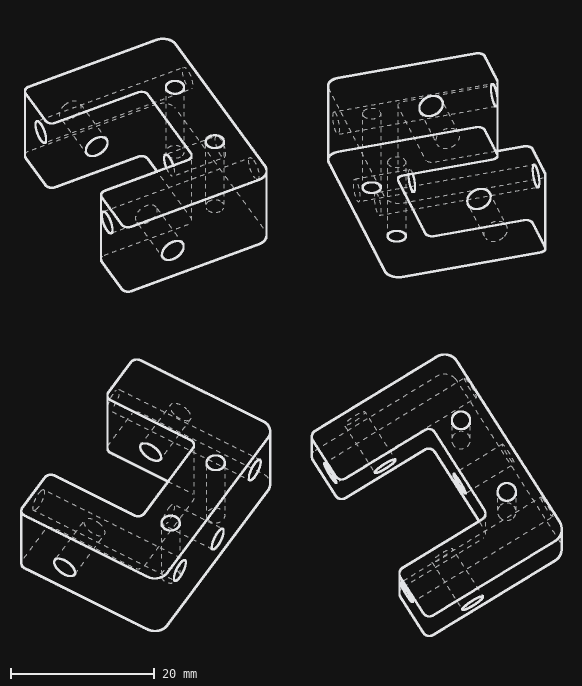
import cadquery as cq

width = 31.0
depth = 23.0
height = 12.7

wall = 8.0
back_corner_radius = 2.0
small_corner_radius = 1.0

vertical_hole_diameter = 2.55
vertical_hole_offset = 6.0

leg_hole_diameter = 3.2
leg_hole_offset = 10.0
leg_hole_shift = 0.1
leg_hole_drop = 3.5
center_hole_height = 4.53

cross_hole_diameter = 3.4
cross_hole_setback = 7.5
cross_hole_height = 5.02

slot_width = width - 2 * wall
slot_depth = depth - wall


def box(size_x, size_y):
    """Full-height block centred in X, with its front at Y = 0."""
    return cq.Workplane("XY").box(size_x, size_y, height, centered=(True, False, False))


def hole_along_y(x, z):
    """Cutter through the full depth of the part."""
    return (
        cq.Workplane("XZ", origin=(x, 0, z))
        .circle(leg_hole_diameter / 2)
        .extrude(-depth)
    )


block = box(width, depth)
block = block.edges("|Z and >Y").fillet(back_corner_radius)
body = block.cut(box(slot_width, slot_depth))
selection_margin = 0.3
slot_back_edges = cq.selectors.BoxSelector(
    (-width, slot_depth - selection_margin, -selection_margin),
    (width, slot_depth + selection_margin, height + selection_margin),
)
body = body.edges("|Z").edges(slot_back_edges).fillet(small_corner_radius)
body = body.edges("|Z and <Y").fillet(small_corner_radius)

vertical_hole_y = depth - wall / 2
for side in (-1, 1):
    vertical_hole = (
        cq.Workplane("XY", origin=(side * vertical_hole_offset, vertical_hole_y, 0))
        .circle(vertical_hole_diameter / 2)
        .extrude(height)
    )
    body = body.cut(vertical_hole)

for side in (-1, 1):
    body = body.cut(hole_along_y(leg_hole_shift + side * leg_hole_offset, height - leg_hole_drop))
body = body.cut(hole_along_y(0, center_hole_height))

cross_hole = (
    cq.Workplane("YZ", origin=(-width / 2, cross_hole_setback, cross_hole_height))
    .circle(cross_hole_diameter / 2)
    .extrude(width)
)
result = body.cut(cross_hole)